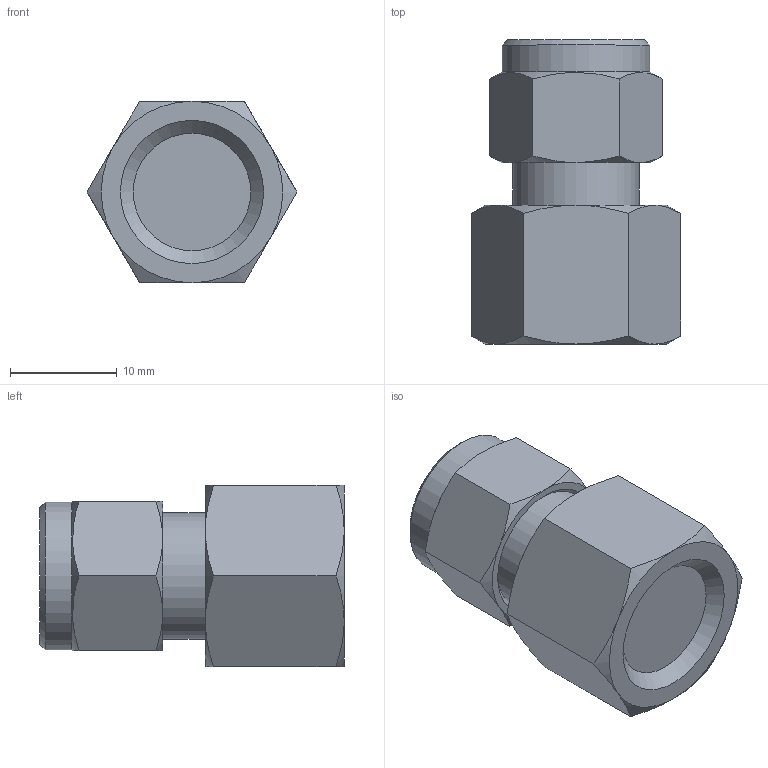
import cadquery as cq
import math

BODY_FLATS = 17.0
BODY_LENGTH = 13.0
NECK_DIAMETER = 11.8
NECK_LENGTH = 4.0
NUT_FLATS = 14.0
NUT_LENGTH = 8.5
COLLAR_DIAMETER = 13.8
COLLAR_LENGTH = 3.0
COLLAR_CHAMFER = 0.5

COUNTERSINK_DIAMETER = 12.6

HEX_CHAMFER_ANGLE = 30.0

RECESS_MOUTH_DIAMETER = 13.4
RECESS_FLOOR_DIAMETER = 11.0
TAPER_ANGLE = 45.0

neck_start = BODY_LENGTH
nut_start = neck_start + NECK_LENGTH
collar_start = nut_start + NUT_LENGTH


def plane_at(y):
    """Plane across the axis at y, with its normal along +Y and local x along +X."""
    return cq.Plane(origin=(0, y, 0), xDir=(1, 0, 0), normal=(0, 1, 0))


def cylinder(y, diameter, length):
    return cq.Workplane(plane_at(y)).circle(diameter / 2).extrude(length)


def chamfered_hexagon(y, flats, length, far_face_diameter):
    """Hexagon with corners on the X axis, turned to a circle across the flats at its near (-Y) end
    and to far_face_diameter at its far (+Y) end."""
    corner_radius = flats / math.sqrt(3)
    near_radius = flats / 2
    far_radius = far_face_diameter / 2
    chamfer_slope = math.tan(math.radians(HEX_CHAMFER_ANGLE))
    near_chamfer = (corner_radius - near_radius) * chamfer_slope
    far_chamfer = (corner_radius - far_radius) * chamfer_slope
    hexagon = cq.Workplane(plane_at(y)).polygon(6, 2 * corner_radius).extrude(length)
    envelope = (
        cq.Workplane("XY")
        .moveTo(0, y)
        .lineTo(near_radius, y)
        .lineTo(corner_radius, y + near_chamfer)
        .lineTo(corner_radius, y + length - far_chamfer)
        .lineTo(far_radius, y + length)
        .lineTo(0, y + length)
        .close()
        .revolve(360, (0, 0, 0), (0, 1, 0))
    )
    return hexagon.intersect(envelope)


def taper_depth(mouth_diameter, floor_diameter):
    return (mouth_diameter - floor_diameter) / 2 / math.tan(math.radians(TAPER_ANGLE))


def tapered_plug(y, mouth_diameter, floor_diameter):
    """Truncated cone, widest at y and narrowing towards +Y to a flat floor."""
    mouth_radius = mouth_diameter / 2
    floor_radius = floor_diameter / 2
    floor_y = y + taper_depth(mouth_diameter, floor_diameter)
    return (
        cq.Workplane("XY")
        .polyline([(0, y), (mouth_radius, y), (floor_radius, floor_y), (0, floor_y)])
        .close()
        .revolve(360, (0, 0, 0), (0, 1, 0))
    )


def countersunk_nut():
    nut = chamfered_hexagon(nut_start, NUT_FLATS, NUT_LENGTH, COLLAR_DIAMETER)
    return nut.cut(tapered_plug(nut_start, COUNTERSINK_DIAMETER, NECK_DIAMETER))


def neck_to_countersink_floor():
    length = NECK_LENGTH + taper_depth(COUNTERSINK_DIAMETER, NECK_DIAMETER)
    return cylinder(neck_start, NECK_DIAMETER, length)


def end_collar():
    collar = cylinder(collar_start, COLLAR_DIAMETER, COLLAR_LENGTH)
    return collar.faces(">Y").chamfer(COLLAR_CHAMFER)


body = chamfered_hexagon(0, BODY_FLATS, BODY_LENGTH, BODY_FLATS)
recess = tapered_plug(0, RECESS_MOUTH_DIAMETER, RECESS_FLOOR_DIAMETER)

result = (
    body.cut(recess)
    .union(neck_to_countersink_floor())
    .union(countersunk_nut())
    .union(end_collar())
)